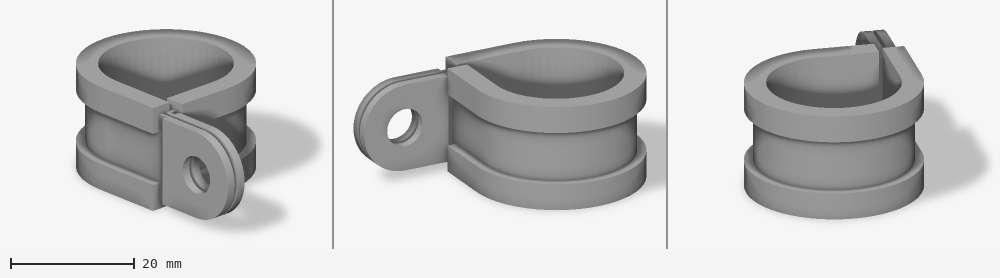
import cadquery as cq

outer_radius = 14.595
inner_radius = 11.0
cushion_height = 18.0
upright_leg_length = 10.05

strap_outer_radius = 13.05
strap_thickness = 0.55
strap_inner_radius = strap_outer_radius - strap_thickness
groove_height = 8.95
long_leg_length = strap_inner_radius

overall_length = 44.3
tab_height = 14.97
tab_thickness = 1.5
tab_gap = 0.65
tab_start = 14.2
hole_diameter = 6.45
tab_radius = tab_height / 2
tab_end = overall_length - outer_radius
tab_center = tab_end - tab_radius
lower_tab_top = -strap_inner_radius
upper_tab_bottom = lower_tab_top + tab_gap


def loop_band(outer, inner, height):
    """Three-quarter ring with a leg along -Y at +X and a leg along +X at -Y."""
    return (
        cq.Workplane("XY")
        .workplane(offset=-height / 2)
        .moveTo(outer, -upright_leg_length)
        .lineTo(outer, 0)
        .threePointArc((0, outer), (-outer, 0))
        .radiusArc((0, -outer), -outer)
        .lineTo(long_leg_length, -outer)
        .lineTo(long_leg_length, -inner)
        .lineTo(0, -inner)
        .radiusArc((-inner, 0), inner)
        .threePointArc((0, inner), (inner, 0))
        .lineTo(inner, -upright_leg_length)
        .close()
        .extrude(height)
    )


def block(x_start, x_end, y_start, y_end, height):
    """Box centred on Z = 0 between the given X and Y limits."""
    return (
        cq.Workplane("XY")
        .box(x_end - x_start, y_end - y_start, height, centered=(False, False, True))
        .translate((x_start, y_start, 0))
    )


def tab(y_bottom):
    """Round-ended plate with its hole concentric with the round end."""
    plate = block(tab_start, tab_center, y_bottom, y_bottom + tab_thickness, tab_height)
    face = cq.Workplane("XZ", origin=(tab_center, y_bottom, 0))
    round_end = face.circle(tab_radius).extrude(-tab_thickness)
    hole = face.circle(hole_diameter / 2).extrude(-tab_thickness)
    return plate.union(round_end).cut(hole)


cushion = loop_band(outer_radius, inner_radius, cushion_height)
groove = loop_band(outer_radius, strap_outer_radius, groove_height)
result = cushion.cut(groove)

upright_strap = block(
    strap_inner_radius, strap_outer_radius, upper_tab_bottom, -upright_leg_length, tab_height
)
upper_neck = block(
    strap_inner_radius, tab_start, upper_tab_bottom, upper_tab_bottom + strap_thickness, tab_height
)
result = result.union(upright_strap).union(upper_neck).union(tab(upper_tab_bottom))

lower_neck = block(
    long_leg_length, tab_start, lower_tab_top - strap_thickness, lower_tab_top, tab_height
)
result = result.union(lower_neck).union(tab(lower_tab_top - tab_thickness))